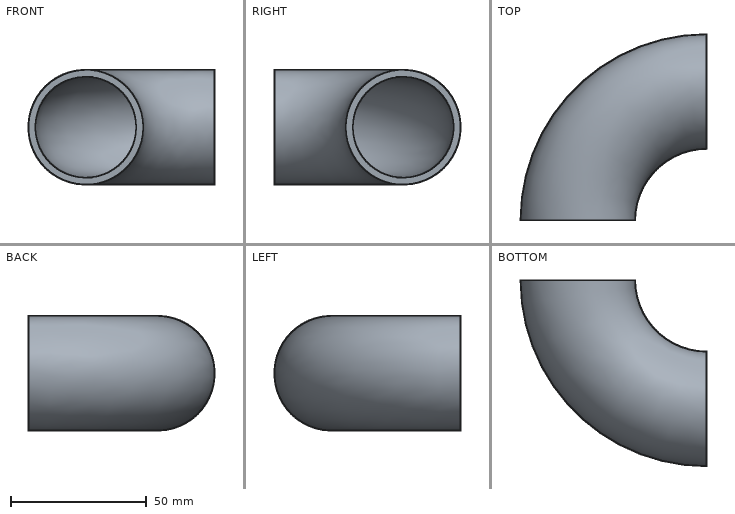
import cadquery as cq

overall_reach = 68.7
outer_diameter = 42.4
wall_thickness = 2.6
bend_angle = 90.0

outer_radius = outer_diameter / 2
inner_radius = outer_radius - wall_thickness
bend_radius = overall_reach - outer_radius

pipe_section = (
    cq.Workplane("XZ")
    .center(-bend_radius, 0)
    .circle(outer_radius)
    .circle(inner_radius)
)

result = pipe_section.revolve(bend_angle, (bend_radius, 0), (bend_radius, -1))